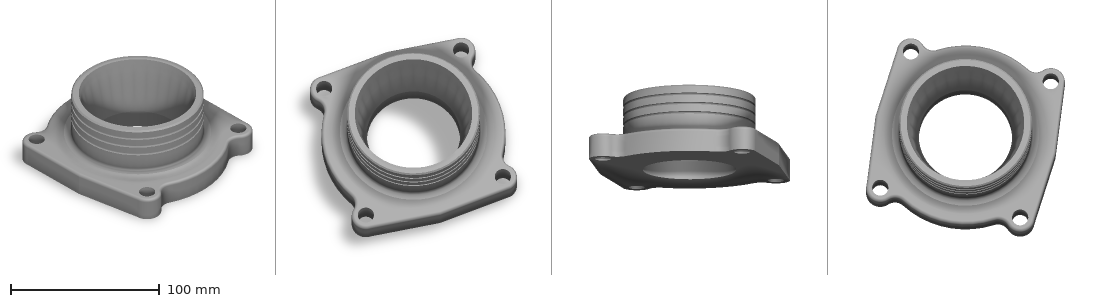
import cadquery as cq
import math

PLATE_HEIGHT = 15.8
PLATE_RADIUS = 61.9
APEX_Y = 61.9
EDGE_FILLET = 2.0

BOLT_OFFSET = 48.2
BOLT_RADIUS = 5.5
EAR_RADIUS = 9.5
NECK_RADIUS = 8.0
EAR_START_X = 47.7
BACK_LEFT_EAR_START_X = 50.9

STEP_HEIGHT = 1.5
STEP_TOP_RADIUS = 49.5
STEP_FOOT_RADIUS = 54.5

TOTAL_HEIGHT = 49.3
TUBE_RADIUS = 44.6
RIM_CHAMFER = 1.0
FOOT_FILLET = 1.5

GROOVE_COUNT = 3
GROOVE_PITCH = 6.3
TOP_GROOVE_Z = 42.8
GROOVE_WIDTH = 1.5
GROOVE_DEPTH = 1.5

THROAT_RADIUS = 31.5
THROAT_HEIGHT = 12.1
MOUTH_RADIUS = 39.5


def plate_quarter(x_sign, y_sign, ear_start_x):
    """One quarter of the plate, from the centre out to one ear."""
    ear_distance = math.hypot(BOLT_OFFSET, BOLT_OFFSET)
    to_centre = PLATE_RADIUS + NECK_RADIUS
    to_ear = EAR_RADIUS + NECK_RADIUS
    cos_swing = (to_centre**2 + ear_distance**2 - to_ear**2) / (2 * to_centre * ear_distance)
    neck_angle = math.radians(45) - math.acos(cos_swing)
    neck_x = to_centre * math.cos(neck_angle)
    neck_y = to_centre * math.sin(neck_angle)
    ear_angle = math.atan2(neck_y - BOLT_OFFSET, neck_x - BOLT_OFFSET)
    neck_mid_angle = (ear_angle + math.pi + neck_angle + math.pi) / 2

    def place(x, y):
        return (x_sign * x, y_sign * y)

    def on_plate(angle):
        return place(PLATE_RADIUS * math.cos(angle), PLATE_RADIUS * math.sin(angle))

    def on_ear(angle):
        return place(
            BOLT_OFFSET + EAR_RADIUS * math.cos(angle),
            BOLT_OFFSET + EAR_RADIUS * math.sin(angle),
        )

    ear_start_angle = math.acos((ear_start_x - BOLT_OFFSET) / EAR_RADIUS)
    neck_middle = place(
        neck_x + NECK_RADIUS * math.cos(neck_mid_angle),
        neck_y + NECK_RADIUS * math.sin(neck_mid_angle),
    )
    return (
        cq.Workplane("XY")
        .lineTo(*place(0, APEX_Y))
        .lineTo(*on_ear(ear_start_angle))
        .threePointArc(on_ear((ear_start_angle + ear_angle) / 2), on_ear(ear_angle))
        .threePointArc(neck_middle, on_plate(neck_angle))
        .threePointArc(on_plate(neck_angle / 2), on_plate(0))
        .close()
        .extrude(PLATE_HEIGHT)
    )


def flange_plate():
    plate = plate_quarter(-1, 1, BACK_LEFT_EAR_START_X)
    for x_sign, y_sign in [(1, 1), (1, -1), (-1, -1)]:
        plate = plate.union(plate_quarter(x_sign, y_sign, EAR_START_X))
    plate = plate.clean().faces(">Z").edges().fillet(EDGE_FILLET)
    spacing = 2 * BOLT_OFFSET
    holes = (
        cq.Workplane("XY")
        .rect(spacing, spacing, forConstruction=True)
        .vertices()
        .circle(BOLT_RADIUS)
        .extrude(PLATE_HEIGHT)
    )
    return plate.cut(holes)


def revolve_about_z(profile):
    return profile.revolve(360, (0, 0, 0), (0, 1, 0))


def tube_body():
    step_z = PLATE_HEIGHT + STEP_HEIGHT
    sweep_run = STEP_FOOT_RADIUS - STEP_TOP_RADIUS
    sweep_radius = (sweep_run**2 + STEP_HEIGHT**2) / (2 * STEP_HEIGHT)
    foot_mid = FOOT_FILLET * (1 - math.sqrt(0.5))
    return revolve_about_z(
        cq.Workplane("XZ")
        .lineTo(STEP_FOOT_RADIUS, 0)
        .lineTo(STEP_FOOT_RADIUS, PLATE_HEIGHT)
        .radiusArc((STEP_TOP_RADIUS, step_z), sweep_radius)
        .lineTo(TUBE_RADIUS + FOOT_FILLET, step_z)
        .threePointArc(
            (TUBE_RADIUS + foot_mid, step_z + foot_mid),
            (TUBE_RADIUS, step_z + FOOT_FILLET),
        )
        .lineTo(TUBE_RADIUS, TOTAL_HEIGHT - RIM_CHAMFER)
        .lineTo(TUBE_RADIUS - RIM_CHAMFER, TOTAL_HEIGHT)
        .lineTo(0, TOTAL_HEIGHT)
        .close()
    )


def groove(z):
    half_width = GROOVE_WIDTH / 2
    floor_radius = TUBE_RADIUS - GROOVE_DEPTH
    outside = TUBE_RADIUS + GROOVE_DEPTH
    return revolve_about_z(
        cq.Workplane("XZ")
        .moveTo(outside, z - half_width)
        .lineTo(floor_radius + half_width, z - half_width)
        .threePointArc((floor_radius, z), (floor_radius + half_width, z + half_width))
        .lineTo(outside, z + half_width)
        .close()
    )


def bore():
    return revolve_about_z(
        cq.Workplane("XZ")
        .lineTo(THROAT_RADIUS, 0)
        .lineTo(THROAT_RADIUS, THROAT_HEIGHT)
        .lineTo(MOUTH_RADIUS, TOTAL_HEIGHT)
        .lineTo(0, TOTAL_HEIGHT)
        .close()
    )


result = flange_plate().union(tube_body())
for index in range(GROOVE_COUNT):
    result = result.cut(groove(TOP_GROOVE_Z - index * GROOVE_PITCH))
result = result.cut(bore())